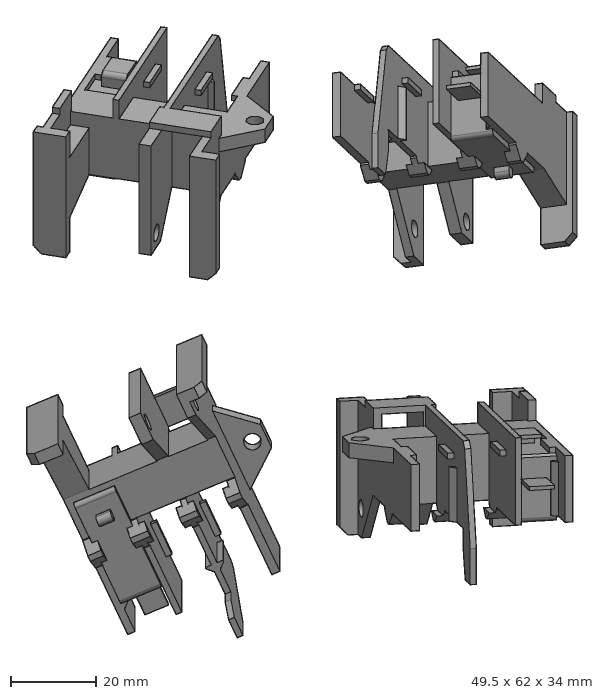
import cadquery as cq

TOP_Z = 34.0
FOOT_TOP_Z = 32.4
DECK_Z = 29.0
BODY_BOTTOM_Z = 12.9

BODY_FRONT_Y = 18.0
BODY_BACK_Y = 29.0
WALL_BACK_Y = 55.0
BRIDGE_FRONT_Y = 10.0
FOOT_DEPTH = 3.0

LEFT_WALL = (1.5, 3.4)
PARTITION = (13.9, 15.4)
LEVER_WALL = (26.5, 28.0)
RIGHT_WALL = (38.5, 40.6)

LEFT_FOOT = (0.0, 8.05)
RIGHT_FOOT = (RIGHT_WALL[0], 45.0)
FOOT_CHAMFER = 2.0
LEVER = (25.45, 28.45)
LEVER_FRONT_Y = 1.9
LEVER_BOTTOM_Z = 3.1
LEG_SLOPE_TOP_Y = 17.8
LEG_SLOPE_BOTTOM_Y = 6.5
LEFT_SLOPE_BOTTOM_Z = 9.2
LEFT_TAB_BACK_Y = 19.0
PIVOT_Y = 6.0
PIVOT_Z = 7.0
PIVOT_DIAMETER = 4.1

TAIL_BACK_Y = 62.0
TAIL_SHOULDER_Y = 56.5
TAIL_BEND_Z = 9.6
TAIL_BOTTOM_Z = 0.9
TAIL_BOTTOM_FRONT_Y = 57.0
TAIL_INNER_BEND_Z = 7.8

LUG_BOTTOM_Z = 25.4
LUG_END_X = 49.5
LUG_ROOT_Y = (16.1, 37.8)
LUG_END_Y = (23.8, 30.2)
LUG_HOLE = (46.0, 27.0)
LUG_HOLE_DIAMETER = 4.1

TOOTH_Y = (29.0, 36.5)
TOOTH_TIP_Y = (31.9, 33.4)
TOOTH_SHOULDER_Z = 12.4
TOOTH_TIP_Z = 9.5
TOOTH_PAD_Z = 11.4
PAD_WIDTH = 1.5
BAR_Y = (37.0, 46.0)
BAR_THICKNESS = 1.4
HOOK_FRONT_Y = 47.0
HOOK_TOP_Z = 26.0
HOOK_LAND = 0.4

BLOCK_TOP_Z = DECK_Z - BAR_THICKNESS
BLOCK_BOTTOM_Z = 11.4
BLOCK_BACK_Y = 47.0
BLOCK_SLOPE_RUN = 1.0
BLOCK_SLOPE_DROP = 0.5
TRAY_FRONT_Y = 19.5
TRAY_FILLET = 1.0
TERMINAL_X = (5.9, 12.0)
TERMINAL_THICKNESS = 0.9
CLIP_Y = (34.2, 42.0)
CLIP_TOP_Z = 31.3
CLIP_RADIUS = 1.25
PAD_TOP_Z = 22.0
NUB_X = (7.1, 10.8)
NUB_Y = (24.0, 26.5)
NUB_BOTTOM_Z = 8.85


def box(x, y, z):
    """Block spanning the given (low, high) ranges."""
    size = (x[1] - x[0], y[1] - y[0], z[1] - z[0])
    return cq.Workplane("XY").box(*size, centered=False).translate((x[0], y[0], z[0]))


def side_profile(points, x):
    """Extrude a closed (Y, Z) outline across an X range."""
    return cq.Workplane("YZ").workplane(offset=x[0]).polyline(points).close().extrude(x[1] - x[0])


def leg_slope_y(z):
    """Depth at which the sloped leg underside passes a height."""
    return LEG_SLOPE_BOTTOM_Y + (LEG_SLOPE_TOP_Y - LEG_SLOPE_BOTTOM_Y) * z / BODY_BOTTOM_Z


def tooth(x):
    """Latch tooth hanging below a wall."""
    points = [
        (TOOTH_Y[0], BODY_BOTTOM_Z),
        (TOOTH_Y[0], TOOTH_SHOULDER_Z),
        (TOOTH_TIP_Y[0], TOOTH_TIP_Z),
        (TOOTH_TIP_Y[1], TOOTH_TIP_Z),
        (TOOTH_Y[1], TOOTH_SHOULDER_Z),
        (TOOTH_Y[1], BODY_BOTTOM_Z),
    ]
    return side_profile(points, x)


def wide_tooth(wall, left, right):
    """Tooth of a wall, with its lower part widened to the chosen sides."""
    wide = (wall[0] - PAD_WIDTH * left, wall[1] + PAD_WIDTH * right)
    lower = box(wide, TOOTH_Y, (TOOTH_TIP_Z, TOOTH_PAD_Z))
    return tooth(wall).union(tooth(wide).intersect(lower))


def guide_bar(wall, left, right):
    """Thin bar level with the deck on the chosen sides of a wall."""
    wide = (wall[0] - PAD_WIDTH * left, wall[1] + PAD_WIDTH * right)
    return box(wide, BAR_Y, (DECK_Z - BAR_THICKNESS, DECK_Z))


def hook(face_x, direction):
    """Wedge-shaped snap hook on a wall face, pointing along +X or -X."""
    tip_x = face_x + direction * PAD_WIDTH
    land_y = HOOK_FRONT_Y + HOOK_LAND
    points = [
        (face_x, HOOK_FRONT_Y),
        (tip_x, HOOK_FRONT_Y),
        (tip_x, land_y),
        (face_x, land_y + PAD_WIDTH),
    ]
    outline = cq.Workplane("XY").workplane(offset=BODY_BOTTOM_Z).polyline(points).close()
    return outline.extrude(HOOK_TOP_Z - BODY_BOTTOM_Z)


def foot(x, chamfer_side):
    """Upright foot with its outer bottom corner cut off."""
    block = box(x, (0, FOOT_DEPTH), (0, FOOT_TOP_Z))
    return block.faces("<Z").edges(chamfer_side).chamfer(FOOT_CHAMFER)


def body():
    return box(
        (LEFT_WALL[0], RIGHT_WALL[1]),
        (BODY_FRONT_Y, BODY_BACK_Y),
        (BODY_BOTTOM_Z, DECK_Z),
    )


def left_side():
    """Left wall with its raised tab, and the stiffener behind the left foot."""
    wall = side_profile(
        [
            (0, LEFT_SLOPE_BOTTOM_Z),
            (FOOT_DEPTH, LEFT_SLOPE_BOTTOM_Z),
            (LEG_SLOPE_TOP_Y, BODY_BOTTOM_Z),
            (WALL_BACK_Y, BODY_BOTTOM_Z),
            (WALL_BACK_Y, DECK_Z),
            (LEFT_TAB_BACK_Y, DECK_Z),
            (LEFT_TAB_BACK_Y, TOP_Z),
            (BRIDGE_FRONT_Y, TOP_Z),
            (BRIDGE_FRONT_Y, FOOT_TOP_Z),
            (0, FOOT_TOP_Z),
        ],
        LEFT_WALL,
    )
    stiffener = side_profile(
        [
            (FOOT_DEPTH, LEFT_SLOPE_BOTTOM_Z),
            (LEG_SLOPE_TOP_Y, BODY_BOTTOM_Z),
            (BODY_FRONT_Y, BODY_BOTTOM_Z),
            (BODY_FRONT_Y, LUG_BOTTOM_Z),
            (FOOT_DEPTH, LUG_BOTTOM_Z),
        ],
        (LEFT_WALL[1], LEFT_FOOT[1]),
    )
    return wall.union(stiffener).union(foot(LEFT_FOOT, "<X"))


def right_side():
    """Right wall with its sloped leg and foot."""
    wall = side_profile(
        [
            (0, 0),
            (LEG_SLOPE_BOTTOM_Y, 0),
            (LEG_SLOPE_TOP_Y, BODY_BOTTOM_Z),
            (WALL_BACK_Y, BODY_BOTTOM_Z),
            (WALL_BACK_Y, DECK_Z),
            (BODY_FRONT_Y, DECK_Z),
            (BODY_FRONT_Y, FOOT_TOP_Z),
            (0, FOOT_TOP_Z),
        ],
        RIGHT_WALL,
    )
    return wall.union(foot(RIGHT_FOOT, ">X"))


def lug():
    """Pointed fixing lug with a vertical hole."""
    points = [
        (RIGHT_WALL[0], LUG_ROOT_Y[0]),
        (RIGHT_WALL[1], LUG_ROOT_Y[0]),
        (LUG_END_X, LUG_END_Y[0]),
        (LUG_END_X, LUG_END_Y[1]),
        (RIGHT_WALL[1], LUG_ROOT_Y[1]),
        (RIGHT_WALL[0], LUG_ROOT_Y[1]),
    ]
    base = cq.Workplane("XY").workplane(offset=LUG_BOTTOM_Z)
    height = DECK_Z - LUG_BOTTOM_Z
    hole = base.center(*LUG_HOLE).circle(LUG_HOLE_DIAMETER / 2).extrude(height)
    return base.polyline(points).close().extrude(height).cut(hole)


def partition():
    return box(PARTITION, (BODY_FRONT_Y, WALL_BACK_Y), (BODY_BOTTOM_Z, TOP_Z))


def lever_wall():
    """Wall with a hanging tail behind, a lever in front and a bridge to the right wall."""
    wall = side_profile(
        [
            (BODY_FRONT_Y, BODY_BOTTOM_Z),
            (WALL_BACK_Y, BODY_BOTTOM_Z),
            (WALL_BACK_Y, TAIL_INNER_BEND_Z),
            (TAIL_BOTTOM_FRONT_Y, TAIL_BOTTOM_Z),
            (TAIL_BACK_Y, TAIL_BOTTOM_Z),
            (TAIL_BACK_Y, TAIL_BEND_Z),
            (TAIL_SHOULDER_Y, FOOT_TOP_Z),
            (WALL_BACK_Y, TOP_Z),
            (BODY_FRONT_Y, TOP_Z),
        ],
        LEVER_WALL,
    )
    lever = side_profile(
        [
            (LEVER_FRONT_Y, LEVER_BOTTOM_Z),
            (leg_slope_y(LEVER_BOTTOM_Z), LEVER_BOTTOM_Z),
            (LEG_SLOPE_TOP_Y, BODY_BOTTOM_Z),
            (BODY_FRONT_Y, BODY_BOTTOM_Z),
            (BODY_FRONT_Y, FOOT_TOP_Z),
            (LEVER_FRONT_Y, FOOT_TOP_Z),
        ],
        LEVER,
    )
    bridge = box(
        (LEVER[0], RIGHT_WALL[1]),
        (BRIDGE_FRONT_Y, BODY_FRONT_Y),
        (FOOT_TOP_Z, TOP_Z),
    )
    return wall.union(lever).union(bridge)


def pivot_hole():
    """Cylinder crossing the lever and the right wall."""
    base = cq.Workplane("YZ").workplane(offset=LEVER[0]).center(PIVOT_Y, PIVOT_Z)
    return base.circle(PIVOT_DIAMETER / 2).extrude(RIGHT_WALL[1] - LEVER[0])


def terminal_block():
    """Block with a sloped back edge, standing on a tray with rounded lower ends."""
    bay = (LEFT_WALL[1], PARTITION[0])
    block = side_profile(
        [
            (BODY_BACK_Y, BODY_BOTTOM_Z),
            (BLOCK_BACK_Y, BODY_BOTTOM_Z),
            (BLOCK_BACK_Y, BLOCK_TOP_Z - BLOCK_SLOPE_DROP),
            (BLOCK_BACK_Y - BLOCK_SLOPE_RUN, BLOCK_TOP_Z),
            (BODY_BACK_Y, BLOCK_TOP_Z),
        ],
        bay,
    )
    tray = box(bay, (TRAY_FRONT_Y, BLOCK_BACK_Y), (BLOCK_BOTTOM_Z, BODY_BOTTOM_Z))
    tray = tray.faces("<Z").edges("|X").fillet(TRAY_FILLET)
    return block.union(tray)


def terminal():
    """Bent clip above the block and flat contact pad behind it."""
    clip = box(TERMINAL_X, CLIP_Y, (BLOCK_TOP_Z, CLIP_TOP_Z))
    clip = clip.edges("<Y and >Z").fillet(CLIP_RADIUS)
    inner = box(
        TERMINAL_X,
        (CLIP_Y[0] + TERMINAL_THICKNESS, CLIP_Y[1]),
        (BLOCK_TOP_Z, CLIP_TOP_Z - TERMINAL_THICKNESS),
    )
    inner = inner.edges("<Y and >Z").fillet(CLIP_RADIUS - TERMINAL_THICKNESS)
    pad = box(TERMINAL_X, (BLOCK_BACK_Y, WALL_BACK_Y), (PAD_TOP_Z - TERMINAL_THICKNESS, PAD_TOP_Z))
    return clip.cut(inner).union(pad)


def nub():
    """Round-ended peg below the tray."""
    radius = (NUB_Y[1] - NUB_Y[0]) / 2
    peg = box(NUB_X, NUB_Y, (NUB_BOTTOM_Z, BLOCK_BOTTOM_Z))
    round_z = NUB_BOTTOM_Z + radius
    square = box(NUB_X, NUB_Y, (round_z, BLOCK_BOTTOM_Z))
    base = cq.Workplane("YZ").workplane(offset=NUB_X[0]).center(sum(NUB_Y) / 2, round_z)
    end = base.circle(radius).extrude(NUB_X[1] - NUB_X[0])
    return peg.intersect(square.union(end))


result = body()
for feature in (left_side, right_side, lug, partition, lever_wall, terminal_block, terminal, nub):
    result = result.union(feature())

for wall, left, right in (
    (LEFT_WALL, False, True),
    (PARTITION, True, True),
    (LEVER_WALL, True, True),
    (RIGHT_WALL, True, False),
):
    result = result.union(wide_tooth(wall, left, right)).union(guide_bar(wall, left, right))

for face_x, direction in ((LEFT_WALL[1], 1), (LEVER_WALL[0], -1), (LEVER_WALL[1], 1)):
    result = result.union(hook(face_x, direction))

result = result.cut(pivot_hole())